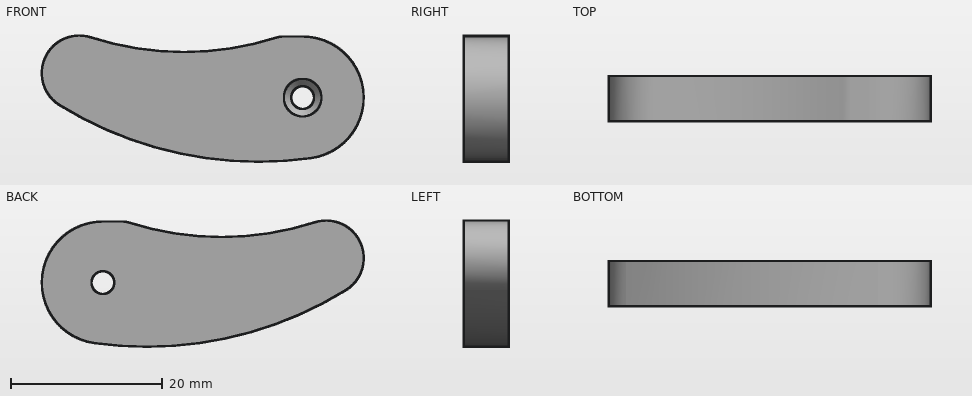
import cadquery as cq
import math

length = 42.6
height = 16.75
thickness = 6.0

hub_radius = 8.1
hub_center = (length - hub_radius, 8.5)
tip_radius = 5.0
tip_center = (tip_radius, height - tip_radius)

upper_radius = 40.03
lower_radius = 50.0
blend_radius = 3.0
flat_length = 2.55
flat_height = hub_center[1] + hub_radius
blend_center = (hub_center[0] - flat_length, flat_height - blend_radius)

hole_diameter = 3.0
sink_diameter = 5.0
sink_angle = 90.0


def center_above(left, left_distance, right, right_distance):
    """Point above the line left-right at the given distances from its ends."""
    dx = right[0] - left[0]
    dz = right[1] - left[1]
    span = math.hypot(dx, dz)
    along = (left_distance**2 - right_distance**2 + span**2) / (2 * span)
    across = math.sqrt(left_distance**2 - along**2)
    return (
        left[0] + (along * dx - across * dz) / span,
        left[1] + (along * dz + across * dx) / span,
    )


def toward(start, target, distance):
    """Point at a distance from start, in the direction of target."""
    ratio = distance / math.dist(start, target)
    return (
        start[0] + ratio * (target[0] - start[0]),
        start[1] + ratio * (target[1] - start[1]),
    )


def arc_middle(center, radius, start, end):
    """Middle of the minor arc from start to end."""
    chord_middle = ((start[0] + end[0]) / 2, (start[1] + end[1]) / 2)
    return toward(center, chord_middle, radius)


upper_center = center_above(
    tip_center, upper_radius + tip_radius, blend_center, upper_radius + blend_radius
)
lower_center = center_above(
    tip_center, lower_radius - tip_radius, hub_center, lower_radius - hub_radius
)

tip_top = toward(tip_center, upper_center, tip_radius)
blend_start = toward(blend_center, upper_center, blend_radius)
flat_start = (blend_center[0], flat_height)
flat_end = (hub_center[0], flat_height)
hub_bottom = toward(lower_center, hub_center, lower_radius)
tip_bottom = toward(lower_center, tip_center, lower_radius)

body = (
    cq.Workplane("XZ")
    .moveTo(*tip_top)
    .threePointArc(arc_middle(upper_center, upper_radius, tip_top, blend_start), blend_start)
    .threePointArc(arc_middle(blend_center, blend_radius, blend_start, flat_start), flat_start)
    .lineTo(*flat_end)
    .threePointArc((length, hub_center[1]), hub_bottom)
    .threePointArc(arc_middle(lower_center, lower_radius, hub_bottom, tip_bottom), tip_bottom)
    .threePointArc((0, tip_center[1]), tip_top)
    .close()
    .extrude(-thickness)
)

result = (
    body.faces("<Y")
    .workplane(origin=(hub_center[0], 0, hub_center[1]))
    .cskHole(hole_diameter, sink_diameter, sink_angle)
)